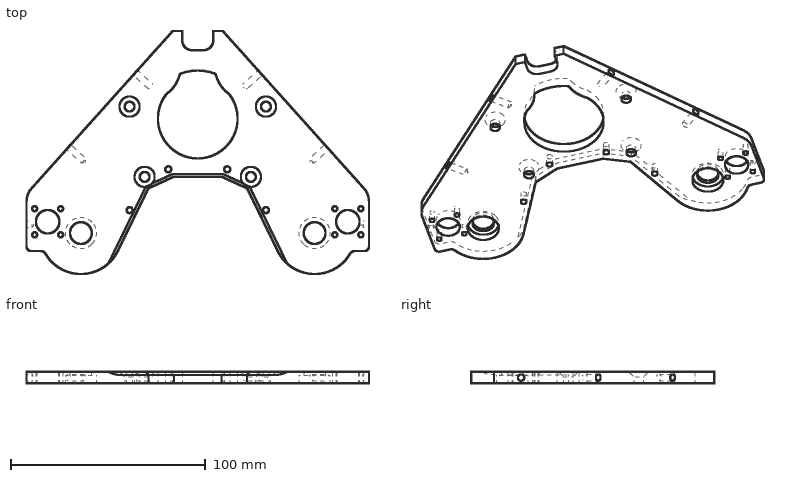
import cadquery as cq
import math

half_width = 88.0
height = 125.0
thickness = 6.0

tip_half_width = 12.8
shoulder_y = 41.2
shoulder_radius = 10.0
side_bottom_y = 11.8
corner_radius = 2.5
foot_x = 60.0
foot_radius = 21.1
foot_y = foot_radius

inner_edge_y = 50.0
inner_edge_half_width = 12.3
knee_x = 25.3
knee_y = 44.0
inner_chamfer = 1.5

slot_width = 15.8
slot_depth = 9.9
slot_radius = 5.0

opening_y = 79.9
opening_radius = 20.4
crown_radius = 24.6
crown_half_width = 9.1
crown_corner_radius = 1.0
neck_start_angle = 142.0
neck_x = 11.8
neck_y = 96.8

screw_points = [(35.0, 86.0), (27.3, 50.0)]
screw_diameter = 5.0
screw_head_diameter = 10.4
screw_head_angle = 90.0
pin_points = [(35.0, 32.9), (15.1, 53.8)]
pin_diameter = 3.0
foot_hole_diameter = 11.0
foot_bore_diameter = 16.0
foot_bore_depth = 4.0
bearing_x = 77.0
bearing_y = 27.0
bearing_diameter = 12.0
bearing_screw_pitch = 13.4
bearing_screw_diameter = 2.5

edge_hole_diameter = 3.3
edge_hole_tip_angle = 118.0
slope_hole_heights = [103.5, 65.3]
slope_hole_depth = 10.5
side_hole_y = 25.7
side_hole_depth = 3.0


def both_sides(points):
    """The points together with their mirror images across the Y axis."""
    return [(side * x, y) for x, y in points for side in (-1, 1)]


def round_cuts(points, diameter, depth=thickness):
    """Cylinders rising from the bottom face, by default through the whole plate."""
    return cq.Workplane("XY").pushPoints(points).circle(diameter / 2).extrude(depth)


def knee_tangent():
    """Point where the straight line from the knee touches the foot circle."""
    dx = knee_x - foot_x
    dy = knee_y - foot_y
    angle = math.atan2(dy, dx) + math.acos(foot_radius / math.hypot(dx, dy))
    return foot_x + foot_radius * math.cos(angle), foot_y + foot_radius * math.sin(angle)


def half_plate():
    """Right half of the plate outline, extruded."""
    touch_x, touch_y = knee_tangent()
    foot_end_x = foot_x + math.sqrt(foot_radius**2 - (foot_y - side_bottom_y) ** 2)
    half = (
        cq.Workplane("XY")
        .moveTo(0, height)
        .lineTo(tip_half_width, height)
        .lineTo(half_width, shoulder_y)
        .lineTo(half_width, side_bottom_y)
        .lineTo(foot_end_x, side_bottom_y)
        .threePointArc((foot_x, foot_y - foot_radius), (touch_x, touch_y))
        .lineTo(knee_x, knee_y)
        .lineTo(inner_edge_half_width, inner_edge_y)
        .lineTo(0, inner_edge_y)
        .close()
        .extrude(thickness)
    )

    def upright_edge(x, y):
        return cq.selectors.NearestToPointSelector((x, y, thickness / 2))

    half = half.edges(upright_edge(half_width, shoulder_y)).fillet(shoulder_radius)
    for x in (half_width, foot_end_x):
        half = half.edges(upright_edge(x, side_bottom_y)).fillet(corner_radius)
    return half


def inner_chamfer_wedge():
    """Wedge along the inner edge; its sides run straight on past the feet."""
    touch_x, touch_y = knee_tangent()
    end_y = -foot_radius
    end_x = knee_x + (touch_x - knee_x) * (knee_y - end_y) / (knee_y - touch_y)
    right = [(inner_edge_half_width, inner_edge_y), (knee_x, knee_y), (end_x, end_y)]
    left = [(-x, y) for x, y in reversed(right)]
    gap = cq.Workplane("XY", origin=(0, 0, thickness - inner_chamfer)).polyline(right + left).close()
    lower = gap.val()
    upper = lower.offset2D(inner_chamfer, "intersection")[0].translate(cq.Vector(0, 0, inner_chamfer))
    return cq.Workplane(obj=cq.Solid.makeLoft([lower, upper], True))


def slot():
    """Cutter centred on the top edge, with its lower corners rounded."""
    return (
        cq.Workplane("XY")
        .center(0, height)
        .rect(slot_width, 2 * slot_depth)
        .extrude(thickness)
        .edges("|Z and <Y")
        .fillet(slot_radius)
    )


def central_opening():
    """Circle, necks and crown as one outline, with the crown corners rounded."""
    crown_y = opening_y + math.sqrt(crown_radius**2 - crown_half_width**2)
    start_x = opening_radius * math.cos(math.radians(neck_start_angle))
    start_y = opening_y + opening_radius * math.sin(math.radians(neck_start_angle))
    opening = (
        cq.Workplane("XY")
        .moveTo(start_x, start_y)
        .threePointArc((-neck_x, neck_y), (-crown_half_width, crown_y))
        .threePointArc((0, opening_y + crown_radius), (crown_half_width, crown_y))
        .threePointArc((neck_x, neck_y), (-start_x, start_y))
        .threePointArc((0, opening_y - opening_radius), (start_x, start_y))
        .close()
        .extrude(thickness)
    )
    for side in (-1, 1):
        corner = cq.selectors.NearestToPointSelector((side * crown_half_width, crown_y, thickness / 2))
        opening = opening.edges(corner).fillet(crown_corner_radius)
    return opening


def edge_hole(x, y, direction, depth):
    """Drilled blind hole with a conical tip, at mid thickness."""
    radius = edge_hole_diameter / 2
    tip_length = radius / math.tan(math.radians(edge_hole_tip_angle / 2))
    axis = cq.Vector(*direction).normalized()
    start = cq.Vector(x, y, thickness / 2)
    drill = cq.Solid.makeCylinder(radius, depth, start, axis)
    tip = cq.Solid.makeCone(radius, 0, tip_length, start + axis * depth, axis)
    return cq.Workplane(obj=drill).union(cq.Workplane(obj=tip))


def edge_holes(side):
    """Blind holes square to the sloping edge, and one square to the side edge."""
    run = half_width - tip_half_width
    rise = height - shoulder_y
    holes = edge_hole(side * half_width, side_hole_y, (-side, 0, 0), side_hole_depth)
    for y in slope_hole_heights:
        x = tip_half_width + (height - y) * run / rise
        holes = holes.union(edge_hole(side * x, y, (-side * rise, -run, 0), slope_hole_depth))
    return holes


right_half = half_plate()
plate = right_half.union(right_half.mirror("YZ")).clean()
plate = plate.cut(slot()).cut(central_opening()).cut(inner_chamfer_wedge())

half_pitch = bearing_screw_pitch / 2
bearing_screw_points = [
    (bearing_x + dx, bearing_y + dy) for dx in (-half_pitch, half_pitch) for dy in (-half_pitch, half_pitch)
]
plate = plate.cut(round_cuts(both_sides(pin_points), pin_diameter))
plate = plate.cut(round_cuts(both_sides([(bearing_x, bearing_y)]), bearing_diameter))
plate = plate.cut(round_cuts(both_sides(bearing_screw_points), bearing_screw_diameter))

foot_points = both_sides([(foot_x, foot_y)])
plate = plate.cut(round_cuts(foot_points, foot_hole_diameter))
plate = plate.cut(round_cuts(foot_points, foot_bore_diameter, foot_bore_depth))

plate = (
    plate.faces(">Z")
    .workplane(origin=(0, 0, thickness))
    .pushPoints(both_sides(screw_points))
    .cskHole(screw_diameter, screw_head_diameter, screw_head_angle)
)

for side in (-1, 1):
    plate = plate.cut(edge_holes(side))

result = plate